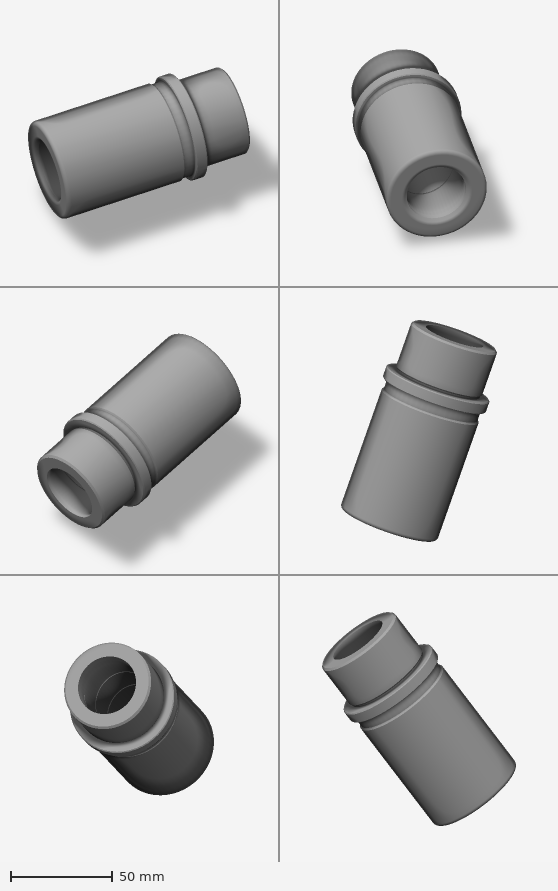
import math

import cadquery as cq

spigot_length = 25.0
collar_width = 6.0
total_length = 100.0
neck_length = 5.2
relief_length = 1.0

spigot_dia = 45.0
relief_dia = 43.5
collar_dia = 54.0
neck_dia = 49.0
body_dia = 50.8
bore_dia = 30.0

spigot_edge = 1.0
collar_edge = 0.5
neck_fillet = 0.4
body_edge_radius = 2.0
mouth_chamfer = 2.0
mouth_angle = math.radians(45)
mouth_radius = 2.0

groove_width = 1.0
groove_pitch = 20.0
groove_end_margin = 10.0

spigot_end = spigot_length
collar_front = -collar_width
neck_front = collar_front - neck_length
body_end = spigot_length - total_length


def revolve_about_y(profile):
    """Revolve a closed (radius, Y) profile a full turn about the Y axis."""
    return profile.close().revolve(360, (0, 0, 0), (0, 1, 0))


def arc_offset(radius):
    """Distance from the corner of a quarter round to its midpoint, along each axis."""
    return radius * (1 - math.cos(math.radians(45)))


def make_outside():
    """Stepped solid: spigot, relief groove, collar, neck and body."""
    spigot_r = spigot_dia / 2
    relief_r = relief_dia / 2
    collar_r = collar_dia / 2
    neck_r = neck_dia / 2
    body_r = body_dia / 2
    relief_step = spigot_r - relief_r
    neck_step = body_r - neck_r
    fillet_mid = arc_offset(neck_fillet)
    edge_mid = arc_offset(body_edge_radius)
    profile = (
        cq.Workplane("XY")
        .moveTo(0, spigot_end)
        .lineTo(spigot_r - spigot_edge, spigot_end)
        .lineTo(spigot_r, spigot_end - spigot_edge)
        .lineTo(spigot_r, relief_length + relief_step)
        .lineTo(relief_r, relief_length)
        .lineTo(relief_r, 0)
        .lineTo(collar_r - collar_edge, 0)
        .lineTo(collar_r, -collar_edge)
        .lineTo(collar_r, collar_front + collar_edge)
        .lineTo(collar_r - collar_edge, collar_front)
        .lineTo(neck_r + neck_fillet, collar_front)
        .threePointArc(
            (neck_r + fillet_mid, collar_front - fillet_mid),
            (neck_r, collar_front - neck_fillet),
        )
        .lineTo(neck_r, neck_front)
        .lineTo(body_r, neck_front - neck_step)
        .lineTo(body_r, body_end + body_edge_radius)
        .threePointArc(
            (body_r - edge_mid, body_end + edge_mid),
            (body_r - body_edge_radius, body_end),
        )
        .lineTo(0, body_end)
    )
    return revolve_about_y(profile)


def make_bore():
    """Through bore with a 45 degree mouth at the body end, rounded where it meets the end face."""
    bore_r = bore_dia / 2
    mouth_r = bore_r + mouth_chamfer
    half_angle = mouth_angle / 2
    tangent_length = mouth_radius * math.tan(half_angle)
    round_outer_r = mouth_r + tangent_length
    round_inner_step = tangent_length * math.sin(mouth_angle)
    round_mid = (
        round_outer_r - mouth_radius * math.sin(half_angle),
        body_end + mouth_radius * (1 - math.cos(half_angle)),
    )
    profile = (
        cq.Workplane("XY")
        .moveTo(0, spigot_end)
        .lineTo(bore_r, spigot_end)
        .lineTo(bore_r, body_end + mouth_chamfer)
        .lineTo(mouth_r - round_inner_step, body_end + round_inner_step)
        .threePointArc(round_mid, (round_outer_r, body_end))
        .lineTo(0, body_end)
    )
    return revolve_about_y(profile)


def make_groove():
    """Left-hand helical groove of half-round section, stopping short of both ends of the bore."""
    bore_r = bore_dia / 2
    groove_length = total_length - 2 * groove_end_margin
    path = cq.Wire.makeHelix(groove_pitch, groove_length, bore_r, lefthand=True)
    groove = (
        cq.Workplane("XZ")
        .center(bore_r, 0)
        .circle(groove_width / 2)
        .sweep(cq.Workplane(path), isFrenet=True)
    )
    along_y = groove.rotate((0, 0, 0), (1, 0, 0), -90)
    return along_y.translate((0, body_end + groove_end_margin, 0))


result = make_outside().cut(make_bore()).cut(make_groove())